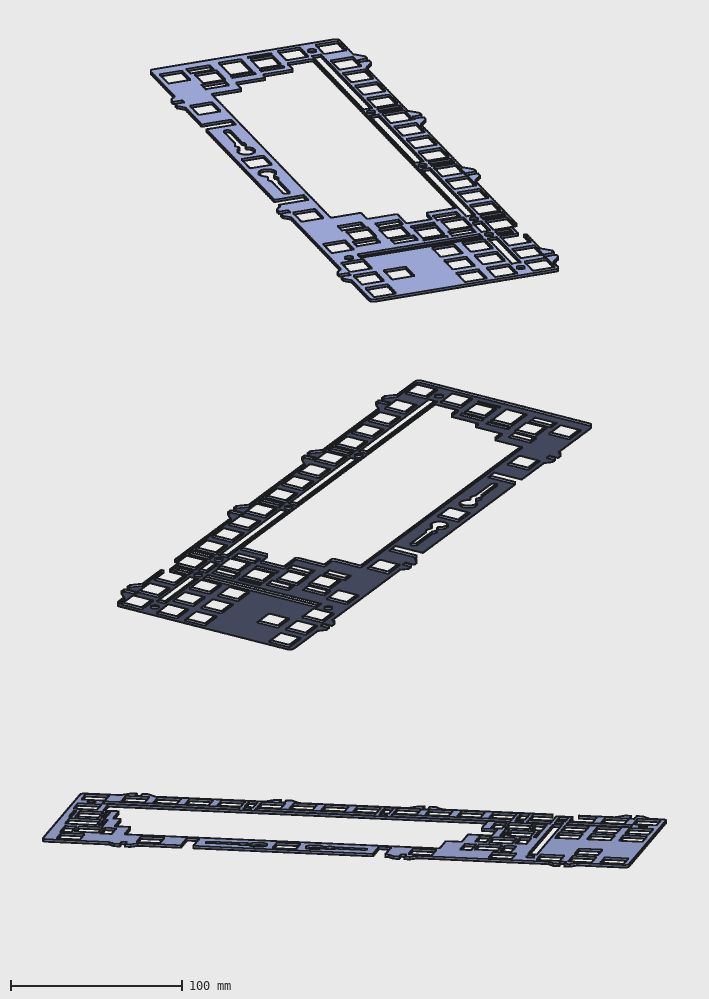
import cadquery as cq

LENGTH = 348.5
OVERALL_WIDTH = 128.0
THICKNESS = 1.6
BODY_TOP = 58.5
BODY_BOTTOM = -60.3
CORNER_RADIUS = 2.8

KEY_UNIT = 19.05
SWITCH_SIZE = 14.0
SWITCH_RADIUS = 0.7
SPAN_X = 17.25
ROW_STEPS = [0, 1.25, 2.25, 3.25, 4.25, 5.25]
KEY_COLUMNS = [
    [0, 1.25, 2.25, 3.25, 4.25, 5.5, 6.5, 7.5, 8.5, 9.75, 10.75, 11.75, 12.75, 14, 15.25, 16.25, 17.25],
    [0, 13.5, 15.25, 16.25, 17.25],
    [0.25, 13.75, 15.25, 16.25, 17.25],
    [13.375],
    [0.625, 13.125, 16.25],
    [0.25, 2.75, 7, 11.25, 13.75, 15.25, 16.25, 17.25],
]
FUNCTION, NUMBER, TAB, CAPS, SHIFT, SPACE = range(6)

STABILIZER_SPACING = 23.85
STABILIZER_WIDTH = 6.5
STABILIZER_HEIGHT = 14.5
STABILIZER_SHIFT = 1.5
STABILIZED_KEYS = [(13.5, NUMBER, -1), (13.375, CAPS, 1), (0.625, SHIFT, -1), (13.125, SHIFT, -1)]
RELIEF_HEIGHT = 14.5
OUTER_RELIEF_WIDTH = 1.5
INNER_RELIEF_WIDTH = 2.5
RELIEF_OFFSET = 9.8
CAPS_LOCK_COLUMN = 0.375
CAPS_LOCK_LEFT = -168.8

STANDOFF_DIAMETER = 5.0
STANDOFF_COLUMNS = [4.875, 9.125, 13.375, 14.625]
POST_COLUMN = STANDOFF_COLUMNS[-1]
RAIL_STEP = 0.625
PAD_TO_COLUMN = 0.625
RAIL_SLOT_HEIGHT = 5.5
PAD_HALF_WIDTH = PAD_TO_COLUMN * KEY_UNIT - SWITCH_SIZE / 2
FLEX_SLOT_WIDTH = 5.2
POST_TOP = 54.5
POST_SLOT_TOP = 52.3
LONG_SLOT_BOTTOM = -43.5
LONG_SLOT_TOP = 33.0
EDGE_GAP_WIDTH = 15.7

OPENING_COLUMNS = [(0.5, 12.5), (1, 13), (1.25, 12.25), (1.75, 11.75)]
OPENING_INSET = 1.5
OPENING_RADIUS = 1.0

SPACE_COLUMN = 7
NOTCH_OFFSET = 3 * KEY_UNIT
NOTCH_WIDTH = 7.3
NOTCH_TOP = -42.0
KEYHOLE_OFFSET = 16.7
KEYHOLE_DIAMETER = 10.5
NECK_OFFSET = 25.8
NECK_DIAMETER = 6.5
CHANNEL_END_OFFSET = 48.0
CHANNEL_WIDTH = 4.2

TAB_TIP_HALF_WIDTH = 5.0
TAB_SLOT_WIDTH = 3.0
TOP_TABS = [(-140.5, 58.2), (-54.7, 58.2), (30.7, 56.5), (153.8, 56.5)]
BOTTOM_TAB_CENTERS = [-126.0, 40.5, 135.5]
BOTTOM_TAB_SLOT_END = -58.2


def column_x(column):
    return (column - SPAN_X / 2) * KEY_UNIT


def row_y(step):
    return (ROW_STEPS[-1] / 2 - step) * KEY_UNIT


def block(left, right, bottom, top):
    """Rectangular prism through the plate, between the given X and Y limits."""
    return (
        cq.Workplane("XY")
        .center((left + right) / 2, (bottom + top) / 2)
        .rect(right - left, top - bottom)
        .extrude(THICKNESS)
    )


def blocks(centers, width, height):
    return cq.Workplane("XY").pushPoints(centers).rect(width, height).extrude(THICKNESS)


def cylinders(centers, diameter):
    return cq.Workplane("XY").pushPoints(centers).circle(diameter / 2).extrude(THICKNESS)


def mounting_tab(center, body_edge, tip_edge):
    """Trapezoid with 45 degree flanks, standing on an edge of the body."""
    base_half_width = TAB_TIP_HALF_WIDTH + abs(tip_edge - body_edge)
    return (
        cq.Workplane("XY")
        .polyline([
            (center - base_half_width, body_edge),
            (center - TAB_TIP_HALF_WIDTH, tip_edge),
            (center + TAB_TIP_HALF_WIDTH, tip_edge),
            (center + base_half_width, body_edge),
        ])
        .close()
        .extrude(THICKNESS)
    )


def plate_body():
    plate = block(-LENGTH / 2, LENGTH / 2, BODY_BOTTOM, BODY_TOP).edges("|Z").fillet(CORNER_RADIUS)
    tip = OVERALL_WIDTH / 2
    half_slot = TAB_SLOT_WIDTH / 2
    for center, slot_end in TOP_TABS:
        plate = plate.union(mounting_tab(center, BODY_TOP, tip))
        plate = plate.cut(block(center - half_slot, center + half_slot, slot_end, tip))
    for center in BOTTOM_TAB_CENTERS:
        plate = plate.union(mounting_tab(center, BODY_BOTTOM, -tip))
        plate = plate.cut(block(center - half_slot, center + half_slot, -tip, BOTTOM_TAB_SLOT_END))
    return plate


def switch_holes():
    centers = [
        (column_x(column), row_y(step))
        for step, columns in zip(ROW_STEPS, KEY_COLUMNS)
        for column in columns
    ]
    return blocks(centers, SWITCH_SIZE, SWITCH_SIZE).edges("|Z").fillet(SWITCH_RADIUS)


def caps_lock_hole():
    right = column_x(CAPS_LOCK_COLUMN) + SWITCH_SIZE / 2
    center_y = row_y(ROW_STEPS[CAPS])
    hole = block(CAPS_LOCK_LEFT, right, center_y - SWITCH_SIZE / 2, center_y + SWITCH_SIZE / 2)
    return hole.edges("|Z").fillet(SWITCH_RADIUS)


def stabilizer_slots():
    centers = [
        (column_x(column) + side * STABILIZER_SPACING / 2, row_y(ROW_STEPS[row]) + shift * STABILIZER_SHIFT)
        for column, row, shift in STABILIZED_KEYS
        for side in (-1, 1)
    ]
    return blocks(centers, STABILIZER_WIDTH, STABILIZER_HEIGHT)


def relief_slots():
    """Thin slots beside the tab, backslash and caps lock keys."""
    tab_x, backslash_x = (column_x(column) for column in KEY_COLUMNS[TAB][:2])
    tab_y = row_y(ROW_STEPS[TAB])
    outer = [(tab_x - RELIEF_OFFSET, tab_y), (backslash_x + RELIEF_OFFSET, tab_y)]
    inner = [
        (tab_x + RELIEF_OFFSET, tab_y),
        (backslash_x - RELIEF_OFFSET, tab_y),
        (column_x(CAPS_LOCK_COLUMN) + RELIEF_OFFSET, row_y(ROW_STEPS[CAPS])),
    ]
    return blocks(outer, OUTER_RELIEF_WIDTH, RELIEF_HEIGHT).union(
        blocks(inner, INNER_RELIEF_WIDTH, RELIEF_HEIGHT)
    )


def rail_slots():
    """Slots along the rail, one between each pair of neighbouring standoff pads."""
    rail_y = row_y(RAIL_STEP)
    pads = [column_x(column) for column in STANDOFF_COLUMNS]
    starts = [column_x(0) + SWITCH_SIZE / 2] + [x + PAD_HALF_WIDTH for x in pads]
    ends = [x - PAD_HALF_WIDTH for x in pads] + [column_x(SPAN_X) - SWITCH_SIZE / 2]
    slots = cq.Workplane("XY")
    for start, end in zip(starts, ends):
        slots = slots.add(block(start, end, rail_y - RAIL_SLOT_HEIGHT / 2, rail_y + RAIL_SLOT_HEIGHT / 2))
    return slots.combine()


def flex_slots():
    """Short slots above the standoff pads and the long slot below the post."""
    function_y = row_y(ROW_STEPS[FUNCTION])
    centers = [(column_x(column), function_y) for column in STANDOFF_COLUMNS[:-1]]
    slots = blocks(centers, FLEX_SLOT_WIDTH, SWITCH_SIZE)
    left = column_x(POST_COLUMN) - FLEX_SLOT_WIDTH / 2
    right = left + FLEX_SLOT_WIDTH
    slots = slots.union(block(left, right, function_y - SWITCH_SIZE / 2, POST_SLOT_TOP))
    return slots.union(block(left, right, LONG_SLOT_BOTTOM, LONG_SLOT_TOP))


def standoff_holes():
    rail_columns = [0] + STANDOFF_COLUMNS + [SPAN_X]
    centers = [(column_x(column), row_y(RAIL_STEP)) for column in rail_columns]
    centers.append((column_x(POST_COLUMN), row_y(ROW_STEPS[SPACE])))
    return cylinders(centers, STANDOFF_DIAMETER)


def edge_gap():
    """Break in the top edge above the post."""
    post_x = column_x(POST_COLUMN)
    return block(post_x - EDGE_GAP_WIDTH / 2, post_x + EDGE_GAP_WIDTH / 2, POST_TOP, BODY_TOP)


def main_opening():
    """Stepped opening over the middle keys, drawn on the key cell borders and then inset."""
    row_tops = [row_y(step - 0.5) for step in ROW_STEPS[NUMBER:]]
    left_side = []
    right_side = []
    for row, (left, right) in enumerate(OPENING_COLUMNS):
        for y in row_tops[row:row + 2]:
            left_side.append((column_x(left), y))
            right_side.append((column_x(right), y))
    return (
        cq.Workplane("XY")
        .polyline(left_side + right_side[::-1])
        .close()
        .offset2D(-OPENING_INSET, "intersection")
        .extrude(THICKNESS)
        .edges("|Z")
        .fillet(OPENING_RADIUS)
    )


def bottom_edge_cuts():
    """Notch and keyhole slot on each side of the space key."""
    center_x = column_x(SPACE_COLUMN)
    center_y = row_y(ROW_STEPS[SPACE])
    channel_length = CHANNEL_END_OFFSET - KEYHOLE_OFFSET
    cuts = cq.Workplane("XY")
    for side in (-1, 1):
        notch_x = center_x + side * NOTCH_OFFSET
        cuts = cuts.add(block(notch_x - NOTCH_WIDTH / 2, notch_x + NOTCH_WIDTH / 2, BODY_BOTTOM, NOTCH_TOP))
        channel_x = center_x + side * (CHANNEL_END_OFFSET + KEYHOLE_OFFSET) / 2
        channel = cq.Workplane("XY").center(channel_x, center_y).slot2D(channel_length, CHANNEL_WIDTH)
        cuts = cuts.add(channel.extrude(THICKNESS))
        cuts = cuts.add(cylinders([(center_x + side * KEYHOLE_OFFSET, center_y)], KEYHOLE_DIAMETER))
        cuts = cuts.add(cylinders([(center_x + side * NECK_OFFSET, center_y)], NECK_DIAMETER))
    return cuts.combine()


result = (
    plate_body()
    .cut(main_opening())
    .cut(switch_holes())
    .cut(caps_lock_hole())
    .cut(stabilizer_slots())
    .cut(relief_slots())
    .cut(rail_slots())
    .cut(flex_slots())
    .cut(standoff_holes())
    .cut(edge_gap())
    .cut(bottom_edge_cuts())
)